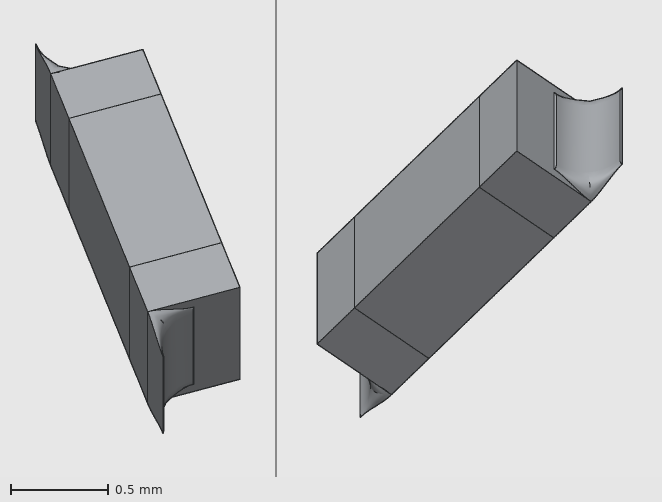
import cadquery as cq
import math


chip_length = 1.6
chip_height = 0.5
chip_width = 0.8
cap_length = 0.3
solder_reach = 0.25
lip_thickness = 0.0095
lip_setback = 0.008
solder_taper = 0.065
solder_rounding = 0.105
rounding_fullness = 0.6

core_length = chip_length - 2 * cap_length
half_width = chip_width / 2
edge_half_width = half_width - solder_taper
plain_half_width = half_width - solder_rounding
arc_center = solder_reach - lip_setback
arc_radius = arc_center - lip_thickness


def make_core():
    return cq.Workplane("XY").box(core_length, chip_height, chip_width)


def make_cap(side):
    cap_center = side * (core_length + cap_length) / 2
    return cq.Workplane("XY").box(cap_length, chip_height, chip_width).translate((cap_center, 0, 0))




def mirror_end(shape):
    return shape.mirror("XY")


def mirror_diagonal(shape):
    return shape.mirror(cq.Vector(1, -1, 0))


def make_rounded_curve(start, square_corner, end):
    """Curve that leaves the start and reaches the end along the sides of a square corner."""
    return cq.Edge.makeBezier([
        start,
        start + (square_corner - start) * rounding_fullness,
        end + (square_corner - end) * rounding_fullness,
        end,
    ])


def make_outline():
    """S-curve in the mounting plane that narrows the end, level where it starts and stops."""
    return cq.Edge.makeBezier([
        cq.Vector(0, 0, half_width),
        cq.Vector(solder_reach / 3, 0, half_width),
        cq.Vector(solder_reach * 2 / 3, 0, edge_half_width),
        cq.Vector(solder_reach, 0, edge_half_width),
    ])


def make_lip_curve():
    """Rounded end of the lip, in the sloping plane of the lip."""
    outer = cq.Vector(solder_reach, 0, edge_half_width)
    inner = cq.Vector(arc_center, lip_thickness, plain_half_width)
    square_corner = cq.Vector(arc_center, lip_thickness, edge_half_width)
    return make_rounded_curve(outer, square_corner, inner)


def arc_point(angle):
    """Point on the concave arc; 0 degrees is at the mounting plane, 45 degrees on the diagonal."""
    return cq.Vector(
        arc_center - arc_radius * math.sin(math.radians(angle)),
        arc_center - arc_radius * math.cos(math.radians(angle)),
        plain_half_width,
    )


def make_arc(end_angle):
    return cq.Edge.makeThreePointArc(arc_point(0), arc_point(end_angle / 2), arc_point(end_angle))


def make_ridge():
    """Curve in the diagonal plane from the inner corner to the middle of the arc."""
    inner_corner = cq.Vector(0, 0, half_width)
    on_arc = arc_point(45)
    return make_rounded_curve(inner_corner, cq.Vector(on_arc.x, on_arc.y, half_width), on_arc)


def make_strip(curve):
    """Flat face between a curve on one end of the solder and its mirror image on the other end."""
    opposite = mirror_end(curve)
    inner_line = cq.Edge.makeLine(curve.startPoint(), opposite.startPoint())
    outer_line = cq.Edge.makeLine(curve.endPoint(), opposite.endPoint())
    return cq.Face.makeFromWires(cq.Wire.assembleEdges([inner_line, curve, outer_line, opposite]))


def make_arc_face():
    arc = make_arc(90)
    return cq.Face.makeRuledSurface(arc, mirror_end(arc))


def make_fillet():
    """Sew the solder from its faces: one half below the diagonal plane, its mirror image, the arc."""
    outline = make_outline()
    lip_curve = make_lip_curve()
    end_patch = cq.Face.makeNSidedSurface([outline, lip_curve, make_arc(45), make_ridge()], [])
    lower_faces = [make_strip(outline), make_strip(lip_curve), end_patch, mirror_end(end_patch)]
    upper_faces = [mirror_diagonal(face) for face in lower_faces]
    shell = cq.Shell.makeShell([*lower_faces, *upper_faces, make_arc_face()])
    return cq.Solid.makeSolid(shell).fix()


def make_solder(side):
    """Solder fillet against the cap on the given side."""
    fillet = make_fillet().translate(cq.Vector(chip_length / 2, -chip_height / 2, 0))
    if side < 0:
        fillet = fillet.mirror("YZ")
    return cq.Workplane(fillet)


core = make_core()
caps = []
solders = []
for side in (-1, 1):
    caps.append(make_cap(side).val())
    solders.append(make_solder(side).val())

result = cq.Compound.makeCompound([core.val(), *caps, *solders])